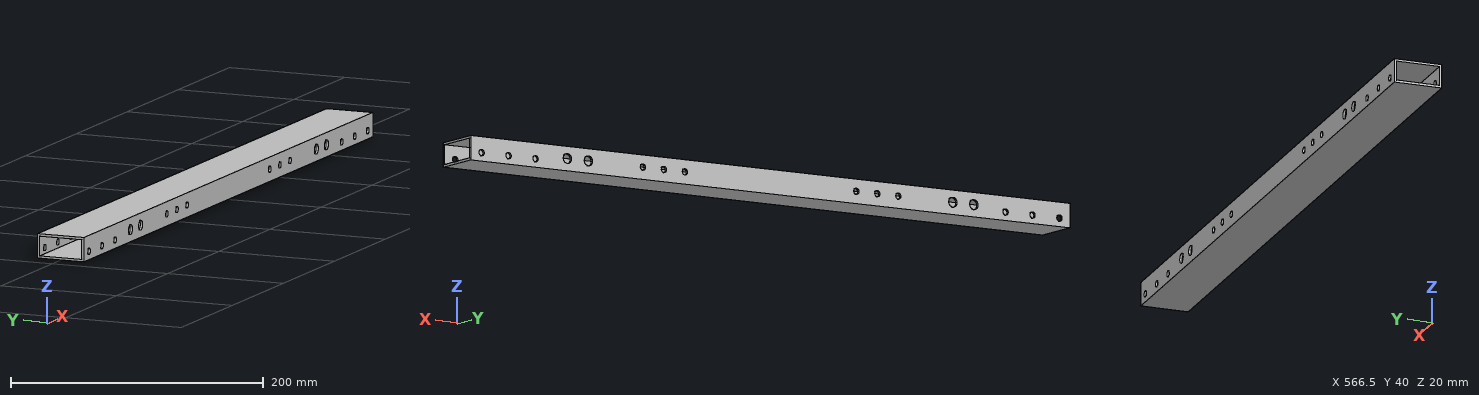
import cadquery as cq

length = 566.5
width = 40.0
height = 20.0
wall = 2.0

end_hole_diameter = 5.0
end_hole_distance = 10.0
end_hole_pitch = 25.5
end_hole_drop = 3.05

large_hole_diameter = 8.0
large_hole_distance = 91.0

inner_hole_diameter = 5.0
inner_hole_distance = 162.5

centreline_pitch = 20.0


def hole_group(diameter, distance, pitch, count, z):
    """Cutters through both side walls, mirrored about the tube middle."""
    points = []
    for index in range(count):
        x = length / 2 - distance - index * pitch
        points += [(-x, z), (x, z)]
    return (
        cq.Workplane("XZ")
        .pushPoints(points)
        .circle(diameter / 2)
        .extrude(width, both=True)
    )


tube = cq.Workplane("XY").box(length, width, height)
bore = cq.Workplane("XY").box(length, width - 2 * wall, height - 2 * wall)

end_holes = hole_group(end_hole_diameter, end_hole_distance, end_hole_pitch, 3, -end_hole_drop)
large_holes = hole_group(large_hole_diameter, large_hole_distance, centreline_pitch, 2, 0)
inner_holes = hole_group(inner_hole_diameter, inner_hole_distance, centreline_pitch, 3, 0)

result = tube.cut(bore).cut(end_holes).cut(large_holes).cut(inner_holes)